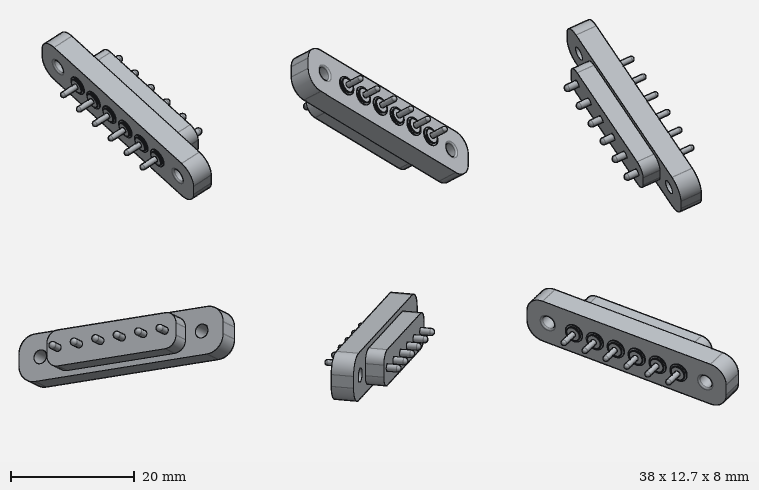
import cadquery as cq

flange_length = 38.0
flange_height = 8.0
flange_depth = 3.75
flange_corner_radius = 3.0
boss_length = 24.0
boss_height = 6.08
boss_depth = 3.1
boss_corner_radius = 2.0
housing_depth = flange_depth + boss_depth

mount_hole_spacing = 30.02
mount_hole_diameter = 2.3
mount_hole_rim_radius = 0.3

pin_count = 6
pin_pitch = 4.0
front_pin_radius = 0.5
back_pin_radius = 0.6
front_pin_reach = 3.57
back_pin_reach = 2.3

collar_radius = 1.6
collar_step_depth = 0.2
collar_depth = 0.4
collar_cap_radius = 1.3
collar_cap_chamfer = 0.08

mount_hole_places = [(side * mount_hole_spacing / 2, 0) for side in (-1, 1)]
pin_places = [((i - (pin_count - 1) / 2) * pin_pitch, 0) for i in range(pin_count)]


def rounded_block(length, height, depth, corner_radius, front_y):
    """Block with its front face at front_y, reaching back along +Y, with rounded corners in XZ."""
    return (
        cq.Workplane("XZ", origin=(0, front_y, 0))
        .rect(length, height)
        .extrude(-depth)
        .edges("|Y")
        .fillet(corner_radius)
    )


def round_cutter(places, diameter, depth):
    """Cylinders reaching from the flange face back along +Y."""
    return cq.Workplane("XZ").pushPoints(places).circle(diameter / 2).extrude(-depth)


def make_housing():
    """Flange and boss in one piece, with round-edged mounting holes and a bore for each pin."""
    flange = rounded_block(flange_length, flange_height, flange_depth, flange_corner_radius, 0)
    flange = flange.cut(round_cutter(mount_hole_places, mount_hole_diameter, flange_depth))
    hole_rims = flange.faces("<Y").edges(cq.selectors.RadiusNthSelector(0))
    flange = hole_rims.fillet(mount_hole_rim_radius)
    boss = rounded_block(boss_length, boss_height, boss_depth, boss_corner_radius, flange_depth)
    pin_bores = round_cutter(pin_places, 2 * back_pin_radius, housing_depth)
    return flange.union(boss).cut(pin_bores)


def make_pin(x):
    """Pin turned about a line along Y: round front tip, stepped collar, thicker round-tipped tail."""
    front_tip_y = -front_pin_reach
    back_tip_y = housing_depth + back_pin_reach
    half_profile = (
        cq.Workplane("XY")
        .moveTo(0, front_tip_y)
        .radiusArc((front_pin_radius, front_tip_y + front_pin_radius), -front_pin_radius)
        .lineTo(front_pin_radius, -collar_depth)
        .lineTo(collar_cap_radius - collar_cap_chamfer, -collar_depth)
        .lineTo(collar_cap_radius, -collar_depth + collar_cap_chamfer)
        .lineTo(collar_cap_radius, -collar_step_depth)
        .lineTo(collar_radius, -collar_step_depth)
        .lineTo(collar_radius, 0)
        .lineTo(back_pin_radius, 0)
        .lineTo(back_pin_radius, back_tip_y - back_pin_radius)
        .radiusArc((0, back_tip_y), -back_pin_radius)
        .close()
    )
    return half_profile.revolve(360, (0, 0, 0), (0, 1, 0)).translate((x, 0, 0))


housing = make_housing()
pins = [make_pin(x) for x, _ in pin_places]

result = cq.Compound.makeCompound([housing.val(), *[pin.val() for pin in pins]])